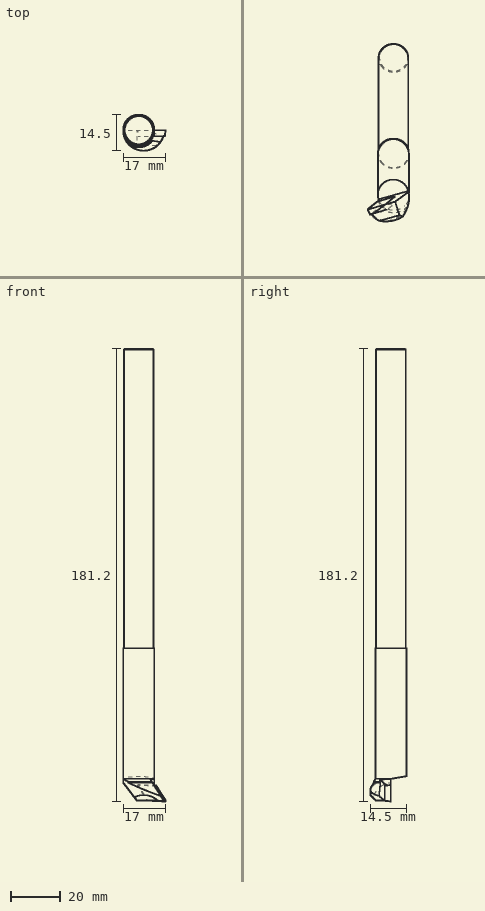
import cadquery as cq
import math

BAR_LENGTH = 181.2
SHANK_DIAMETER = 12.0
SHANK_CHAMFER = 0.4
NECK_RADIUS = 12.5 / 2
NECK_TOP = 61.5

HEAD_TOP = 9
HEAD_OFFSET = 2.0
HEAD_RADIUS = NECK_RADIUS + HEAD_OFFSET
HEAD_BOTTOM = 0.4
FLARE_HALF_ANGLE = 30
FLARE_BAND_TOP = 8.0
FLARE_BAND_HEIGHT = 0.4
RAKE_SHOULDER_RISE = 1.0
BACK_SLOPE_TOP = 7.6
BACK_SLOPE_FOOT_X = -0.7
HEEL_Y = -6.0
END_CLEARANCE = 0.7

OVERALL_WIDTH = 17.0
TIP_X = OVERALL_WIDTH - NECK_RADIUS
INSERT_SIDE = 7.8
INSERT_THICKNESS = 2.4
INSERT_ANGLE = 55
INSERT_TILT = 3
NOSE_RADIUS = 0.4
FLANK_CLEARANCE = 7

BLOCK = 36.2


def edge_direction(angle):
    """Unit XZ vector that climbs toward -X at the given angle."""
    return -math.cos(math.radians(angle)), math.sin(math.radians(angle))


FLANK_ANGLE = INSERT_ANGLE + INSERT_TILT
FRONT_EDGE = edge_direction(INSERT_TILT)
SIDE_EDGE = edge_direction(FLANK_ANGLE)
BISECTOR = edge_direction(INSERT_TILT + INSERT_ANGLE / 2)

NOSE_SETBACK = NOSE_RADIUS / math.sin(math.radians(INSERT_ANGLE / 2))
CORNER_X = TIP_X - NOSE_RADIUS - NOSE_SETBACK * BISECTOR[0]
CORNER_Z = NOSE_RADIUS - NOSE_SETBACK * BISECTOR[1]


def move(point, direction, distance):
    return point[0] + distance * direction[0], point[1] + distance * direction[1]


def make_insert():
    """Rhombic plate tapering from the rake face toward -Y."""
    corner = (CORNER_X, CORNER_Z)
    front_end = move(corner, FRONT_EDGE, INSERT_SIDE)
    side_end = move(corner, SIDE_EDGE, INSERT_SIDE)
    far_corner = move(front_end, SIDE_EDGE, INSERT_SIDE)
    outline = cq.Sketch().polygon([corner, front_end, far_corner, side_end, corner])
    outline = outline.vertices().fillet(NOSE_RADIUS)
    return cq.Workplane("XZ").placeSketch(outline).extrude(INSERT_THICKNESS, taper=FLANK_CLEARANCE)


def make_shank():
    """Round shank with a stouter neck below it."""
    shank = (
        cq.Workplane("XY").workplane(offset=NECK_TOP)
        .circle(SHANK_DIAMETER / 2).extrude(BAR_LENGTH - NECK_TOP)
        .faces(">Z").chamfer(SHANK_CHAMFER)
    )
    neck = cq.Workplane("XY").workplane(offset=HEAD_BOTTOM).circle(NECK_RADIUS).extrude(NECK_TOP - HEAD_BOTTOM)
    return shank.union(neck)


def make_head():
    """Half of an eccentric cylinder, on the -Y side, inside a cone that flares from the neck."""
    flare_slope = math.tan(math.radians(FLARE_HALF_ANGLE))
    band_radius = NECK_RADIUS + (HEAD_TOP - FLARE_BAND_TOP) * flare_slope
    band_bottom = FLARE_BAND_TOP - FLARE_BAND_HEIGHT
    base_radius = band_radius + (band_bottom - HEAD_BOTTOM) * flare_slope
    profile = [
        (0, HEAD_BOTTOM),
        (base_radius, HEAD_BOTTOM),
        (band_radius, band_bottom),
        (band_radius, FLARE_BAND_TOP),
        (NECK_RADIUS, HEAD_TOP),
        (0, HEAD_TOP),
    ]
    flare = cq.Workplane("XZ").polyline(profile).close().revolve(180, (0, 0), (0, -1))
    cylinder = (
        cq.Workplane("XY").workplane(offset=HEAD_BOTTOM)
        .moveTo(HEAD_OFFSET - HEAD_RADIUS, 0)
        .threePointArc((HEAD_OFFSET, -HEAD_RADIUS), (HEAD_OFFSET + HEAD_RADIUS, 0))
        .close().extrude(HEAD_TOP - HEAD_BOTTOM)
    )
    return flare.intersect(cylinder)


def rake_relief():
    """Removes the +Y half of the neck's lower end, up to a sloped shoulder."""
    shoulder_slope = RAKE_SHOULDER_RISE / NECK_RADIUS
    outline = [
        (0, -BLOCK),
        (0, HEAD_TOP),
        (BLOCK, HEAD_TOP + BLOCK * shoulder_slope),
        (BLOCK, -BLOCK),
    ]
    return cq.Workplane("YZ").polyline(outline).close().extrude(BLOCK, both=True)


def back_slope():
    """Removes the lower -X corner of the head."""
    top = (-NECK_RADIUS, BACK_SLOPE_TOP)
    foot = (BACK_SLOPE_FOOT_X, HEAD_BOTTOM)
    slope = (foot[0] - top[0], foot[1] - top[1])
    overshoot = 2
    low_end = move(top, slope, overshoot)
    outline = [top, low_end, (-BLOCK, low_end[1]), (-BLOCK, BACK_SLOPE_TOP)]
    return cq.Workplane("XZ").polyline(outline).close().extrude(BLOCK, both=True)


def heel_chamfer():
    """Removes the lower -Y edge of the head at 45 degrees."""
    outline = [(HEEL_Y, HEAD_BOTTOM), (HEEL_Y - BLOCK, HEAD_BOTTOM + BLOCK), (HEEL_Y - BLOCK, HEAD_BOTTOM)]
    return cq.Workplane("YZ").polyline(outline).close().extrude(BLOCK, both=True)


def end_relief():
    """Trims the +X end of the head parallel to the insert's side edge."""
    setback = END_CLEARANCE / math.sin(math.radians(FLANK_ANGLE))
    foot = (CORNER_X - setback, CORNER_Z)
    top = move(foot, SIDE_EDGE, HEAD_TOP / SIDE_EDGE[1])
    outline = [foot, top, (BLOCK, top[1]), (BLOCK, foot[1])]
    relief = cq.Workplane("XZ").polyline(outline).close().extrude(BLOCK, both=True)
    neck_core = cq.Workplane("XY").circle(NECK_RADIUS).extrude(HEAD_TOP)
    return relief.cut(neck_core)


insert = make_insert()
bar = make_shank().cut(rake_relief()).union(make_head())
for relief in (back_slope(), heel_chamfer(), end_relief(), insert):
    bar = bar.cut(relief)

result = cq.Compound.makeCompound([bar.val(), insert.val()])